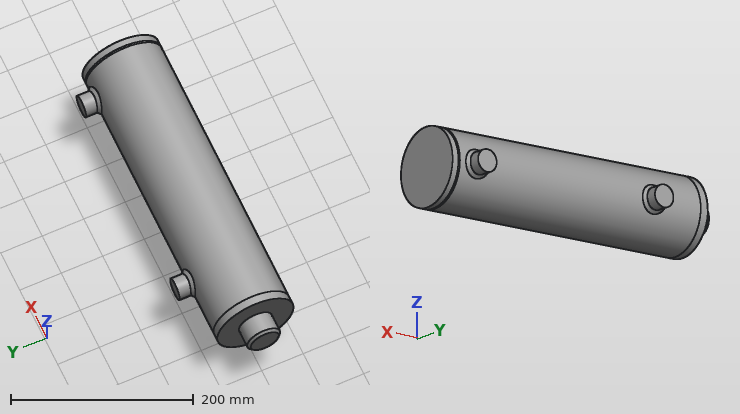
import cadquery as cq
import math

total_length = 380.0
total_depth = 109.0
body_diameter = 92.0
body_radius = body_diameter / 2

rod_diameter = 40.0
rod_reach = 24.7
rod_chamfer = 3.0

gland_length = 10.0
cap_length = 8.0
end_weld_width = 2.3
gland_start = rod_reach
barrel_start = gland_start + gland_length
cap_start = total_length - cap_length
end_weld_start = cap_start - end_weld_width

port_diameter = 26.0
port_radius = port_diameter / 2
port_top = total_depth - body_radius
port_positions = (98.8, 345.0)

weld_leg = 3.6
weld_overlap = 0.8
weld_floor = 32.3
curve_points = 24


def disc(start, end, diameter):
    """Solid round bar along X."""
    return cq.Workplane("YZ", origin=(start, 0, 0)).circle(diameter / 2).extrude(end - start)


def make_rod():
    """Rod with a chamfered tip, passing through the gland."""
    return disc(0, barrel_start, rod_diameter).faces("<X").chamfer(rod_chamfer)


def make_gland(rod):
    return disc(gland_start, barrel_start, body_diameter).cut(rod)


def make_barrel():
    return disc(barrel_start, end_weld_start, body_diameter)


def make_end_weld():
    return disc(end_weld_start, cap_start, body_diameter)


def make_cap():
    return disc(cap_start, total_length, body_diameter)


def port_bar(x):
    """Round bar from the barrel axis to the port's outer face."""
    return cq.Workplane("XZ", origin=(x, 0, 0)).circle(port_radius).extrude(-port_top)


def make_port(x, barrel):
    return port_bar(x).cut(barrel)


def saddle_curve(x, radius, lift):
    """Closed curve around the port, following the barrel surface raised by lift."""
    points = []
    for i in range(curve_points):
        angle = 2 * math.pi * i / curve_points
        z = radius * math.sin(angle)
        y = math.sqrt(body_radius**2 - z**2) + lift
        points.append(cq.Vector(x + radius * math.cos(angle), y, z))
    return cq.Edge.makeSpline(points, periodic=True)


def floor_circle(x, radius):
    """Circle around the port at the floor level, starting at its +X point."""
    plane = cq.Plane(origin=(x, weld_floor, 0), xDir=(1, 0, 0), normal=(0, -1, 0))
    return cq.Workplane(plane).circle(radius).val()


def make_port_weld(x, barrel):
    """Sloping collar whose edges follow the barrel, trimmed to the port and barrel."""
    inner_radius = port_radius - weld_overlap
    outer_radius = port_radius + weld_leg + weld_overlap
    upper = cq.Wire.assembleEdges([saddle_curve(x, inner_radius, weld_leg + weld_overlap)])
    lower = cq.Wire.assembleEdges([saddle_curve(x, outer_radius, -weld_overlap)])
    inner_floor = floor_circle(x, inner_radius)
    outer_floor = floor_circle(x, outer_radius)
    faces = [
        cq.Face.makeRuledSurface(upper, lower),
        cq.Face.makeRuledSurface(lower, outer_floor),
        cq.Face.makeRuledSurface(inner_floor, upper),
        cq.Face.makeFromWires(outer_floor, [inner_floor]),
    ]
    collar = cq.Solid.makeSolid(cq.Shell.makeShell(faces)).fix()
    return cq.Workplane(collar).cut(barrel).cut(port_bar(x))


rod = make_rod()
gland = make_gland(rod)
barrel = make_barrel()
end_weld = make_end_weld()
cap = make_cap()
ports = [make_port(x, barrel) for x in port_positions]
port_welds = [make_port_weld(x, barrel) for x in port_positions]

result = cq.Compound.makeCompound([
    rod.solids().val(),
    gland.solids().val(),
    barrel.val(),
    end_weld.val(),
    cap.val(),
    *[port.solids().val() for port in ports],
    *[weld.solids().val() for weld in port_welds],
])